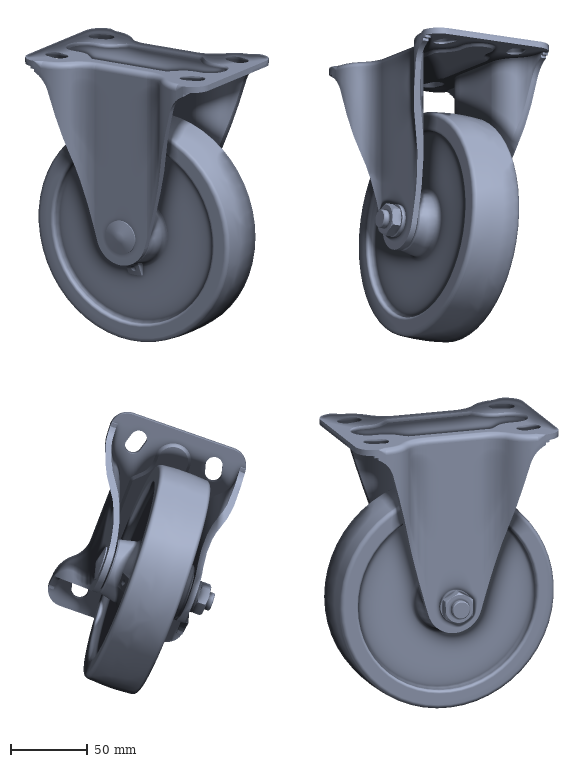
import cadquery as cq
import math


sheet = 4.0
plate_top = 115.0
plate_bottom = plate_top - sheet
plate_half_x = 70.1
plate_depth = 94.0
plate_half_y = plate_depth / 2
plate_corner_r = 12.0
waist_half_y = 32.0
waist_half_x = 20.3
inner_bend_r = 19.0
outer_bend_r = inner_bend_r + sheet
leg_end_r = 19.0
leg_taper = math.radians(16.2)
flare_start_z = 96.0
flare_end_z = 107.7
leg_half_x = 58.0
tab_length = 2.7
tab_height = 1.5

slot_x = 52.8
slot_y = 27.2
slot_width = 11.0
slot_length = 17.1
slot_angle = 15.0

press_depth = 1.9
press_wall_angle = 45.0
press_half_y = 22.0
press_shoulder_x = 29.0
press_shoulder_r = 3.8
press_neck_r = 14.2
press_end_r = 12.0
press_end_x = 49.2

wheel_r = 75.0
wheel_half_y = 17.9
tread_edge_r = 74.3
tread_shoulder_r = 2.8
tread_half_y = wheel_half_y - tread_shoulder_r
rim_face_r = tread_edge_r - tread_shoulder_r
recess_r = 61.8
recess_depth = 5.3
recess_fillet = 1.9
web_half_y = wheel_half_y - recess_depth
hub_end_r = 18.8
hub_half_y = 26.8
hub_chamfer = 1.0
hub_root_r = 21.8
hub_fillet = 2.7
spacer_r = 13.5

block_width = 10.0
block_outer_r = 29.6
block_inner_r = 15.2
block_lip = 1.7
block_lean = math.radians(25)
grease_hole_z = -24.7
grease_hole_r = 2.0
grease_hole_depth = 1.9

axle_r = 6.0
axle_end_y = 45.5
axle_chamfer = 0.5
head_r = 11.4
head_rim = 0.8
head_tip = 3.8
washer_r = 10.8
washer_height = 2.7
nut_flats = 19.0
nut_end_y = 41.5
nut_bevel = math.radians(30)

leg_inner_y = waist_half_y - sheet


def y_cylinder(radius, start, end):
    """Cylinder about the axle line, from one Y position to another."""
    return cq.Workplane("XZ", origin=(0, start, 0)).circle(radius).extrude(start - end)


bend_angle = math.acos(1 - (plate_half_y - waist_half_y) / (inner_bend_r + outer_bend_r))
bend_end_x = waist_half_x + (inner_bend_r + outer_bend_r) * math.sin(bend_angle)


def bend_points(inset):
    """S-bend from the waist to the full depth: ends and middles of its two arcs.

    The curve lies inside the outer surface by the given inset.
    """
    concave_r = inner_bend_r + inset
    convex_r = outer_bend_r - inset

    def concave(angle):
        return (waist_half_x + concave_r * math.sin(angle),
                waist_half_y + inner_bend_r - concave_r * math.cos(angle))

    def convex(angle):
        return (bend_end_x - convex_r * math.sin(angle),
                plate_half_y - outer_bend_r + convex_r * math.cos(angle))

    half = bend_angle / 2
    return [concave(0), concave(half), concave(bend_angle), convex(half), convex(0)]


def flip(point, sx, sy):
    return (sx * point[0], sy * point[1])


def add_bends(sketch, inset, start, side):
    """Draw one bent long side, from its bend end on the start side (+1 or -1 in X) to the other."""
    outer, mid_2, joint, mid_1, inner = reversed(bend_points(inset))
    return (
        sketch.lineTo(*flip(outer, start, side))
        .threePointArc(flip(mid_2, start, side), flip(joint, start, side))
        .threePointArc(flip(mid_1, start, side), flip(inner, start, side))
        .lineTo(*flip(inner, -start, side))
        .threePointArc(flip(mid_1, -start, side), flip(joint, -start, side))
        .threePointArc(flip(mid_2, -start, side), flip(outer, -start, side))
    )


def make_blank(bottom):
    """Waisted plate outline as a solid block from the given height to the plate top."""
    corner_x = plate_half_x - plate_corner_r
    corner_y = plate_half_y - plate_corner_r
    diagonal = plate_corner_r * math.sqrt(0.5)
    corner_start = (corner_x, plate_half_y)
    corner_mid = (corner_x + diagonal, corner_y + diagonal)
    corner_end = (plate_half_x, corner_y)
    sketch = cq.Workplane("XY").workplane(offset=bottom).moveTo(*corner_start)
    for turn in (1, -1):
        sketch = (
            add_bends(sketch, 0, turn, turn)
            .lineTo(*flip(corner_start, -turn, turn))
            .threePointArc(flip(corner_mid, -turn, turn), flip(corner_end, -turn, turn))
            .lineTo(*flip(corner_end, -turn, -turn))
            .threePointArc(flip(corner_mid, -turn, -turn), flip(corner_start, -turn, -turn))
        )
    return sketch.close().extrude(plate_top - bottom)


def make_leg_outline():
    """Tapered leg silhouette with a round tip and flared top, thick along Y."""
    cos_t = math.cos(leg_taper)
    sin_t = math.sin(leg_taper)
    flare_x = (leg_end_r + flare_start_z * sin_t) / cos_t
    tab_x = leg_half_x + tab_length
    tab_z = plate_bottom - tab_height
    return (
        cq.Workplane("XZ", origin=(0, plate_half_y, 0))
        .moveTo(0, -leg_end_r)
        .threePointArc((leg_end_r * math.sqrt(0.5), -leg_end_r * math.sqrt(0.5)),
                       (leg_end_r * cos_t, -leg_end_r * sin_t))
        .lineTo(flare_x, flare_start_z)
        .tangentArcPoint((leg_half_x, flare_end_z), relative=False)
        .lineTo(leg_half_x, tab_z)
        .lineTo(tab_x, tab_z)
        .lineTo(tab_x, plate_bottom)
        .lineTo(0, plate_bottom)
        .close()
        .extrude(plate_depth)
    )


def make_leg_sheet(side):
    """S-bent sheet standing along one long side of the plate."""
    reach = leg_half_x + tab_length
    outer_y = side * plate_half_y
    inner_y = side * (plate_half_y - sheet)
    sketch = cq.Workplane("XY").workplane(offset=-leg_end_r).moveTo(reach, outer_y)
    sketch = add_bends(sketch, 0, 1, side).lineTo(-reach, outer_y).lineTo(-reach, inner_y)
    sketch = add_bends(sketch, sheet, -1, side).lineTo(reach, inner_y)
    return sketch.close().extrude(plate_bottom + leg_end_r)


def make_bend_runout():
    """Cutter that fades the rounded top edge out towards the +X +Y plate corner."""
    fade_scale = 0.02
    cutter = cq.Workplane("YZ", origin=(bend_end_x, 0, 0))
    for step, radius in ((0, sheet), (leg_half_x - bend_end_x, sheet * fade_scale)):
        bulge = radius * (1 - math.sqrt(0.5))
        cutter = (
            cutter.workplane(offset=step)
            .moveTo(plate_half_y - radius, plate_top)
            .threePointArc((plate_half_y - bulge, plate_top - bulge),
                           (plate_half_y, plate_top - radius))
            .lineTo(plate_half_y, plate_top)
            .close()
        )
    return cutter.loft(ruled=True)


def make_press(top):
    """Panel shape with sloping walls, widest at the given height."""
    neck_end_y = press_end_r + press_neck_r * (1 - math.sqrt(0.5))
    neck_x = press_shoulder_x + press_half_y - neck_end_y
    neck_start = (neck_x + press_neck_r * math.sqrt(0.5), press_end_r)
    neck_end = (neck_x, neck_end_y)
    half_turn = math.pi / 8
    neck_mid = (neck_start[0] - press_neck_r * math.sin(half_turn),
                press_end_r + press_neck_r * (1 - math.cos(half_turn)))
    shoulder_x = press_shoulder_x - press_shoulder_r * math.tan(half_turn)
    shoulder_y = press_half_y - press_shoulder_r
    shoulder_start = (shoulder_x, press_half_y)
    shoulder_mid = (shoulder_x + press_shoulder_r * math.sin(half_turn),
                    shoulder_y + press_shoulder_r * math.cos(half_turn))
    shoulder_end = (shoulder_x + press_shoulder_r * math.sqrt(0.5),
                    shoulder_y + press_shoulder_r * math.sqrt(0.5))
    sketch = cq.Workplane("XY").workplane(offset=top).moveTo(*shoulder_start)
    for turn in (1, -1):
        sketch = (
            sketch.lineTo(*flip(shoulder_start, -turn, turn))
            .threePointArc(flip(shoulder_mid, -turn, turn), flip(shoulder_end, -turn, turn))
            .lineTo(*flip(neck_end, -turn, turn))
            .threePointArc(flip(neck_mid, -turn, turn), flip(neck_start, -turn, turn))
            .lineTo(-turn * press_end_x, turn * press_end_r)
            .threePointArc((-turn * (press_end_x + press_end_r), 0),
                           (-turn * press_end_x, -turn * press_end_r))
            .lineTo(*flip(neck_start, -turn, -turn))
            .threePointArc(flip(neck_mid, -turn, -turn), flip(neck_end, -turn, -turn))
            .lineTo(*flip(shoulder_end, -turn, -turn))
            .threePointArc(flip(shoulder_mid, -turn, -turn), flip(shoulder_start, -turn, -turn))
        )
    return sketch.close().extrude(-press_depth, taper=press_wall_angle)


def make_bracket():
    middle_zone = cq.Workplane("XY").box(2 * bend_end_x, 4 * plate_half_y, 4 * plate_top)

    plain = make_blank(plate_bottom - sheet)
    rounded = plain.faces(">Z").edges().fillet(sheet)
    plate = rounded.intersect(middle_zone).union(plain.cut(middle_zone))
    below_plate = cq.Workplane("XY").box(4 * plate_half_x, 4 * plate_half_y, plate_bottom,
                                         centered=(True, True, False))
    plate = plate.cut(below_plate)
    runout = make_bend_runout()
    for cutter in (runout, runout.mirror("YZ")):
        plate = plate.cut(cutter).cut(cutter.mirror("XZ"))

    plate = plate.union(make_press(plate_bottom)).cut(make_press(plate_top))

    for sx in (-1, 1):
        for sy in (-1, 1):
            slot = (
                cq.Workplane("XY").workplane(offset=plate_bottom)
                .center(sx * slot_x, sy * slot_y)
                .slot2D(slot_length, slot_width, -sx * sy * slot_angle)
                .extrude(sheet)
            )
            plate = plate.cut(slot)

    footprint = make_blank(-leg_end_r)
    outline = make_leg_outline()
    outline = outline.union(outline.mirror("YZ"))
    bracket = plate
    for side in (-1, 1):
        leg = make_leg_sheet(side).intersect(outline).intersect(footprint)
        bracket = bracket.union(leg)
    return bracket.cut(y_cylinder(axle_r, -plate_half_y, plate_half_y))


def make_grease_block():
    """Wedge on the -Y side of the web, below the hub, with a conical grease hole."""
    lip_y = -web_half_y - block_lip
    height = block_outer_r - block_inner_r
    block = (
        cq.Workplane("YZ", origin=(-block_width / 2, 0, 0))
        .polyline([
            (-web_half_y, -block_outer_r),
            (lip_y, -block_outer_r),
            (lip_y - height * math.tan(block_lean), -block_inner_r),
            (-web_half_y, -block_inner_r),
        ])
        .close().extrude(block_width)
    )
    block = block.intersect(y_cylinder(block_outer_r, -hub_half_y, hub_half_y))
    hole_y = lip_y - (block_outer_r + grease_hole_z) * math.tan(block_lean)
    hole = cq.Solid.makeCone(
        grease_hole_r, 0, grease_hole_depth,
        pnt=cq.Vector(0, hole_y, grease_hole_z),
        dir=cq.Vector(0, math.cos(block_lean), math.sin(block_lean)),
    )
    return block.cut(cq.Workplane(obj=hole))


def tread_shoulder_mid(side):
    """Middle of the quarter-round between the tread and the rim face."""
    share = math.sqrt(0.5)
    return (rim_face_r + share * tread_shoulder_r,
            side * (tread_half_y + share * tread_shoulder_r))


def make_tread_envelope():
    """Outside limit of the wheel: crowned tread with rounded shoulders."""
    return (
        cq.Workplane("XY")
        .moveTo(0, -leg_inner_y)
        .lineTo(rim_face_r, -leg_inner_y)
        .lineTo(rim_face_r, -wheel_half_y)
        .threePointArc(tread_shoulder_mid(-1), (tread_edge_r, -tread_half_y))
        .threePointArc((wheel_r, 0), (tread_edge_r, tread_half_y))
        .threePointArc(tread_shoulder_mid(1), (rim_face_r, wheel_half_y))
        .lineTo(rim_face_r, leg_inner_y)
        .lineTo(0, leg_inner_y)
        .close()
        .revolve(360, (0, 0, 0), (0, 1, 0))
    )


def make_wheel():
    blank_r = wheel_r + tread_shoulder_r
    half = (
        cq.Workplane("XY")
        .moveTo(axle_r, 0)
        .lineTo(axle_r, -leg_inner_y)
        .lineTo(spacer_r, -leg_inner_y)
        .lineTo(spacer_r, -hub_half_y)
        .lineTo(hub_end_r - hub_chamfer, -hub_half_y)
        .lineTo(hub_end_r, -hub_half_y + hub_chamfer)
        .lineTo(hub_root_r, -web_half_y)
        .lineTo(recess_r - recess_fillet, -web_half_y)
        .tangentArcPoint((recess_r, -web_half_y - recess_fillet), relative=False)
        .lineTo(recess_r, -wheel_half_y + recess_fillet)
        .tangentArcPoint((recess_r + recess_fillet, -wheel_half_y), relative=False)
        .lineTo(blank_r, -wheel_half_y)
        .lineTo(blank_r, 0)
        .close()
        .revolve(360, (0, 0, 0), (0, 1, 0))
    )
    margin = 0.2
    reach = hub_root_r + margin
    hub_root = cq.selectors.BoxSelector(
        (-reach, -web_half_y - margin, -reach),
        (reach, -web_half_y + margin, reach),
        boundingbox=True,
    )
    half = half.edges(hub_root).fillet(hub_fillet)
    wheel = half.union(half.mirror("XZ")).intersect(make_tread_envelope())
    return wheel.union(make_grease_block())


def make_nut():
    """Washer and hexagon nut on the +Y leg, the nut's corners bevelled at both ends."""
    washer_end_y = waist_half_y + washer_height
    corner_r = nut_flats / 2 / math.cos(math.pi / 6)
    height = nut_end_y - washer_end_y
    hexagon = (
        cq.Workplane("XZ", origin=(0, washer_end_y, 0))
        .transformed(rotate=(0, 0, 90))
        .polygon(6, 2 * corner_r)
        .extrude(-height)
    )
    bevel = (corner_r - nut_flats / 2) * math.tan(nut_bevel)
    envelope = (
        cq.Workplane("XY")
        .moveTo(0, washer_end_y)
        .lineTo(nut_flats / 2, washer_end_y)
        .lineTo(corner_r, washer_end_y + bevel)
        .lineTo(corner_r, nut_end_y - bevel)
        .lineTo(nut_flats / 2, nut_end_y)
        .lineTo(0, nut_end_y)
        .close()
        .revolve(360, (0, 0, 0), (0, 1, 0))
    )
    washer = y_cylinder(washer_r, waist_half_y, washer_end_y)
    return washer.union(hexagon.intersect(envelope))


def make_axle():
    shaft = y_cylinder(axle_r, -waist_half_y, axle_end_y).faces(">Y").chamfer(axle_chamfer)
    head = (
        cq.Workplane("XY")
        .moveTo(0, -waist_half_y)
        .lineTo(head_r, -waist_half_y)
        .lineTo(head_r, -waist_half_y - head_rim)
        .lineTo(0, -waist_half_y - head_tip)
        .close()
        .revolve(360, (0, 0, 0), (0, 1, 0))
    )
    return shaft.union(head).union(make_nut())


bracket = make_bracket()
wheel = make_wheel()
axle = make_axle()
result = cq.Compound.makeCompound([bracket.val(), wheel.val(), axle.val()])